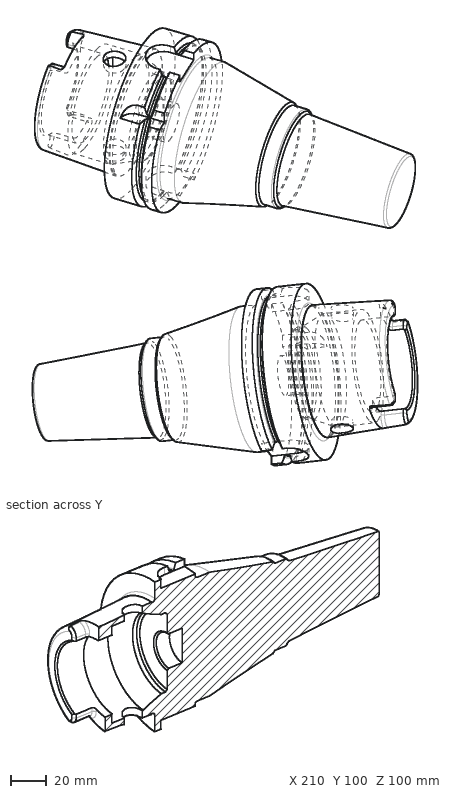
import cadquery as cq
import math


length = 210.0
shank_length = 50.0
shank_radius = 37.5
shank_half_taper = 0.05
shank_nose_round = 2.5
relief_start = 47.5
relief_depth = 0.5
relief_ramp = 0.5
relief_fillet = 1.9

flange_radius = 50.0
flange_end = 79.0
groove_start = 66.8
groove_end = 72.7
groove_floor_radius = 45.5
groove_floor_start = 69.3
groove_floor_end = 70.8
groove_bevel_radius = 46.5
front_bevel_width = 1.3
rear_bevel_width = 0.6

body_radius = 41.4
body_fillet = 1.3
body_end = 89.0
cone_end = 134.5
cone_end_radius = 30.7
collar_start = 135.7
collar_radius = 29.2
collar_end = 143.2
collar_round = 1.0
nose_start = 145.7
nose_start_radius = 26.9
nose_tip_radius = 21.8
nose_tip_round = 1.3

bore_radius = 26.2
bore_mouth_chamfer = 1.0
recess_start = 19.7
recess_radius = 32.1
recess_end = 41.5
recess_taper_end = 54.5
bore_end = 58.8
bore_floor_chamfer = 1.3
pilot_radius = 11.3
pilot_depth = 10.5
pilot_chamfer = 1.0

drive_half_width = 9.9
drive_ledge = 32.0
drive_wall_round = 5.2
drive_floor_fillet = 1.7
drive_mouth_chamfer = 1.7
top_drive_depth = 9.9
bottom_drive_depth = 14.5

cross_hole_x = 34.6
cross_hole_radius = 6.3

keyway_half_width = 9.9
keyway_start = 54.5
keyway_floor = 44.0
notch_offset = 31.7
notch_end_radius = 8.0
notch_round_centre_x = 62.8

clearance = 10.5


def make_body():
    """Solid of revolution holding the whole outer profile."""
    shank_tip_radius = shank_radius - shank_half_taper * (relief_start - shank_nose_round)
    diagonal = math.sqrt(0.5)
    relief_radius = shank_radius - relief_depth
    bend = 1 - diagonal
    profile = (
        cq.Workplane("XY")
        .moveTo(0, 0)
        .lineTo(0, shank_tip_radius - shank_nose_round)
        .threePointArc(
            (shank_nose_round * bend, shank_tip_radius - shank_nose_round * bend),
            (shank_nose_round, shank_tip_radius),
        )
        .lineTo(relief_start, shank_radius)
        .lineTo(relief_start + relief_ramp, relief_radius)
        .lineTo(shank_length - relief_fillet, relief_radius)
        .threePointArc(
            (shank_length - relief_fillet * bend, relief_radius + relief_fillet * bend),
            (shank_length, relief_radius + relief_fillet),
        )
        .lineTo(shank_length, flange_radius)
        .lineTo(flange_end, flange_radius)
        .lineTo(flange_end, body_radius + body_fillet)
        .threePointArc(
            (flange_end + body_fillet * bend, body_radius + body_fillet * bend),
            (flange_end + body_fillet, body_radius),
        )
        .lineTo(body_end, body_radius)
        .lineTo(cone_end, cone_end_radius)
        .lineTo(collar_start, collar_radius)
        .lineTo(collar_end, collar_radius)
        .threePointArc(
            (collar_end + collar_round * diagonal, collar_radius - collar_round * bend),
            (collar_end + collar_round, collar_radius - collar_round),
        )
        .lineTo(nose_start, nose_start_radius)
        .lineTo(length - nose_tip_round, nose_tip_radius)
        .threePointArc(
            (length - nose_tip_round * bend, nose_tip_radius - nose_tip_round * bend),
            (length, nose_tip_radius - nose_tip_round),
        )
        .lineTo(length, 0)
        .close()
    )
    return profile.revolve(360, (0, 0, 0), (1, 0, 0))


def make_groove():
    """V-shaped ring cutter with a bevelled floor for the gripper groove around the flange."""
    profile = (
        cq.Workplane("XY")
        .moveTo(groove_start, flange_radius)
        .lineTo(groove_floor_start - front_bevel_width, groove_bevel_radius)
        .lineTo(groove_floor_start, groove_floor_radius)
        .lineTo(groove_floor_end, groove_floor_radius)
        .lineTo(groove_floor_end + rear_bevel_width, groove_bevel_radius)
        .lineTo(groove_end, flange_radius)
        .close()
    )
    return profile.revolve(360, (0, 0, 0), (1, 0, 0))


def make_bore():
    """Stepped cavity opening at the shank mouth."""
    profile = (
        cq.Workplane("XY")
        .moveTo(0, 0)
        .lineTo(0, bore_radius + bore_mouth_chamfer)
        .lineTo(bore_mouth_chamfer, bore_radius)
        .lineTo(recess_start, bore_radius)
        .lineTo(recess_start, recess_radius)
        .lineTo(recess_end, recess_radius)
        .lineTo(recess_taper_end, bore_radius)
        .lineTo(bore_end - bore_floor_chamfer, bore_radius)
        .lineTo(bore_end, bore_radius - bore_floor_chamfer)
        .lineTo(bore_end, pilot_radius + pilot_chamfer)
        .lineTo(bore_end + pilot_chamfer, pilot_radius)
        .lineTo(bore_end + pilot_depth, pilot_radius)
        .lineTo(bore_end + pilot_depth, 0)
        .close()
    )
    return profile.revolve(360, (0, 0, 0), (1, 0, 0))


def drive_slot_outline(x, growth):
    """Slot section on the plane at x, with its walls moved outward by growth."""
    half_width = drive_half_width + growth
    ledge = drive_ledge - growth
    wall_round = drive_wall_round - growth
    reach = shank_radius
    bend = wall_round * (1 - math.sqrt(0.5))
    return (
        cq.Workplane("YZ", origin=(x, 0, 0))
        .moveTo(-half_width, 0)
        .lineTo(half_width, 0)
        .lineTo(half_width, ledge - wall_round)
        .threePointArc((half_width + bend, ledge - bend), (half_width + wall_round, ledge))
        .lineTo(reach, ledge)
        .lineTo(reach, reach + clearance)
        .lineTo(-reach, reach + clearance)
        .lineTo(-reach, ledge)
        .lineTo(-half_width - wall_round, ledge)
        .threePointArc((-half_width - bend, ledge - bend), (-half_width, ledge - wall_round))
        .close()
    )


def make_drive_slot(depth):
    """Slot cutter on the +Z side with a filleted floor and a chamfered mouth."""
    slot = drive_slot_outline(0, 0).extrude(depth)
    slot = slot.faces(">X").edges().fillet(drive_floor_fillet)
    mouth_wires = [
        drive_slot_outline(0, drive_mouth_chamfer).wire().val(),
        drive_slot_outline(drive_mouth_chamfer, 0).wire().val(),
    ]
    mouth = cq.Solid.makeLoft(mouth_wires, True)
    return slot.union(cq.Workplane(mouth))


def make_keyway():
    """Round-ended cutter for the +Z side of the flange, open toward the body."""
    centre_x = keyway_start + keyway_half_width
    return (
        cq.Workplane("XY", origin=(0, 0, keyway_floor))
        .moveTo(centre_x, keyway_half_width)
        .threePointArc((keyway_start, 0), (centre_x, -keyway_half_width))
        .lineTo(flange_end, -keyway_half_width)
        .lineTo(flange_end, keyway_half_width)
        .close()
        .extrude(clearance)
    )


def make_notch():
    """Square-cornered cutter for the -Y, +Z corner of the flange, with a round end."""
    centre_y = -notch_offset - notch_end_radius
    outer_y = -flange_radius - clearance
    bend = notch_end_radius * math.sqrt(0.5)
    return (
        cq.Workplane("XY", origin=(0, 0, notch_offset))
        .moveTo(flange_end, -notch_offset)
        .lineTo(notch_round_centre_x, -notch_offset)
        .threePointArc(
            (notch_round_centre_x - bend, centre_y + bend),
            (notch_round_centre_x - notch_end_radius, centre_y),
        )
        .lineTo(notch_round_centre_x - notch_end_radius, outer_y)
        .lineTo(flange_end, outer_y)
        .close()
        .extrude(flange_radius)
    )


def turned_under(cutter):
    """The same cutter moved from the +Z side to the -Z side."""
    return cutter.rotate((0, 0, 0), (1, 0, 0), 180)


cross_hole = (
    cq.Workplane("XY")
    .center(cross_hole_x, 0)
    .circle(cross_hole_radius)
    .extrude(shank_radius + clearance, both=True)
)
keyway = make_keyway()

cutters = [
    make_groove(),
    make_bore(),
    make_drive_slot(top_drive_depth),
    turned_under(make_drive_slot(bottom_drive_depth)),
    cross_hole,
    keyway,
    turned_under(keyway),
    make_notch(),
]

result = make_body()
for cutter in cutters:
    result = result.cut(cutter)